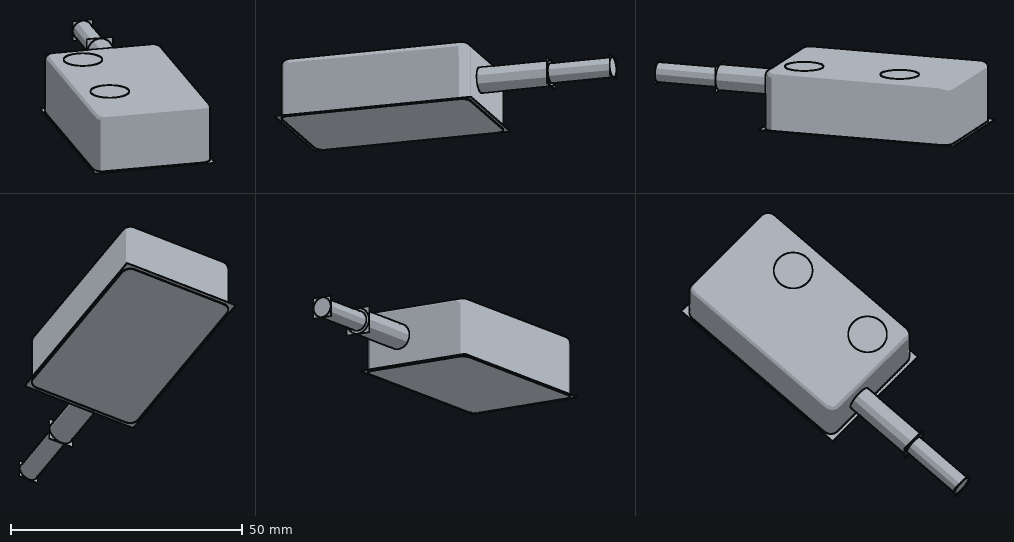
import cadquery as cq

total_length = 74.15

sheet_length = 44.8
sheet_width = 27.1
sheet_thickness = 0.1
sheet_height = 0.15
end_margin = 0.9
side_margin = 0.45
housing_length = sheet_length - 2 * end_margin
housing_width = sheet_width - 2 * side_margin
housing_height = 13.35
corner_radius = 2.1
top_radius = 1.3
housing_center_x = total_length - sheet_length / 2
housing_start_x = housing_center_x - housing_length / 2

cable_y = 4.15
cable_z = 6.75
rod_diameter = 4.4
rod_sheet_side = 4.6
sleeve_diameter = 5.6
sleeve_sheet_side = 5.85
sleeve_start_x = 14.15

recess_diameter = 8.4
recess_depth = 0.1
recess_y = -6.0
first_recess_x = 37.2
recess_spacing = 21.95


def make_housing():
    """Box with rounded upright corners and a rounded top rim."""
    return (
        cq.Workplane("XY")
        .center(housing_center_x, 0)
        .rect(housing_length, housing_width)
        .extrude(housing_height)
        .edges("|Z").fillet(corner_radius)
        .faces(">Z").edges().fillet(top_radius)
    )


def make_foot_sheet():
    """Thin rectangular sheet just above the underside of the housing."""
    return (
        cq.Workplane("XY", origin=(0, 0, sheet_height))
        .center(housing_center_x, 0)
        .rect(sheet_length, sheet_width)
        .extrude(sheet_thickness)
    )


def make_cable_step(start_x, end_x, diameter, sheet_side):
    """Round length of cable with a square sheet at its free end."""
    plane = cq.Workplane("YZ", origin=(start_x, cable_y, cable_z))
    cable = plane.circle(diameter / 2).extrude(end_x - start_x)
    sheet = plane.rect(sheet_side, sheet_side).extrude(sheet_thickness)
    return cable.union(sheet)


def make_recesses():
    """Cutters for the two round recesses."""
    centers = [(first_recess_x + i * recess_spacing, recess_y) for i in range(2)]
    return (
        cq.Workplane("XY", origin=(0, 0, housing_height - recess_depth))
        .pushPoints(centers)
        .circle(recess_diameter / 2)
        .extrude(recess_depth)
    )


rod = make_cable_step(0, sleeve_start_x, rod_diameter, rod_sheet_side)
sleeve = make_cable_step(
    sleeve_start_x, housing_start_x + corner_radius, sleeve_diameter, sleeve_sheet_side
)
result = (
    make_housing()
    .union(make_foot_sheet())
    .union(sleeve)
    .union(rod)
    .cut(make_recesses())
)